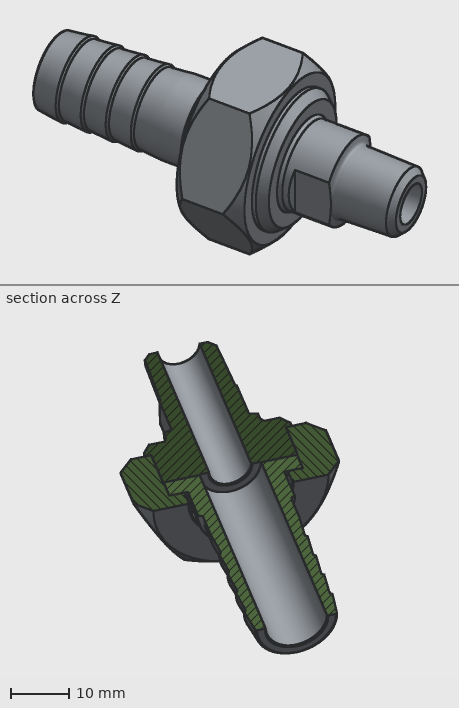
import cadquery as cq
import math

TOTAL_LENGTH = 71.0
BORE_CHAMFER = 0.2

TAIL_BORE_DIAMETER = 11.0
BARB_COUNT = 5
BARB_PITCH = 5.0
BARB_RELIEF_LENGTH = 0.4
BARB_CREST_RADIUS = 16.0 / 2
BARB_ROOT_RADIUS = 7.6
TAIL_FACE_RADIUS = 7.1
TAIL_TIP_RADIUS = 7.4
TAIL_TIP_LENGTH = 0.2
COLLAR_RADIUS = 17.5 / 2
COLLAR_FILLET_START = 29.55
COLLAR_FILLET_END = 29.95
COLLAR_FILLET_RADIUS = 8.3
COLLAR_START = 30.2

NUT_START = 33.45
NUT_LENGTH = 13.5
NUT_END = NUT_START + NUT_LENGTH
NUT_ACROSS_FLATS = 32.0
NUT_ACROSS_CORNERS = NUT_ACROSS_FLATS / math.cos(math.radians(30))
NUT_FACE_RADIUS = 31.5 / 2
NUT_HOLE_DIAMETER = 18.5
NUT_THREAD_RADIUS = 24.15 / 2
NUT_LIP = 2.85
SEAT_X = NUT_START + NUT_LIP
TAIL_HEAD_LENGTH = 3.55
TAIL_END = SEAT_X + TAIL_HEAD_LENGTH

ADAPTER_BORE_DIAMETER = 7.5
FLANGE_RADIUS = 26.4 / 2
FLANGE_FACE_RADIUS = 23.5 / 2
FLANGE_CHAMFER_START = 47.7
FLANGE_END = 49.5
NECK_RADIUS = 17.0 / 2
NECK_FLARE_RADIUS = 8.95
NECK_FLARE_END = 50.3
NECK_END = 58.7
NECK_FACE_BOTTOM = 59.0
WRENCH_FLAT_WIDTH = 14.0
WRENCH_FLAT_START = 52.0
FLAT_RUNOUT = 0.4
TAPER_START = 59.7
TAPER_FLARE_RADIUS = 7.25
TAPER_LARGE_RADIUS = 6.75
TAPER_SMALL_RADIUS = 6.45
TAPER_END = 69.7
ADAPTER_TIP_RADIUS = 5.25


def turn(profile):
    """Revolve a closed (x, radius) profile about the X axis."""
    return profile.close().revolve(360, (0, 0, 0), (1, 0, 0))


def bore(start, end, diameter):
    """Cutter for a round bore along X, with its mouth chamfered at the start."""
    radius = diameter / 2
    return turn(
        cq.Workplane("XY")
        .moveTo(start, 0)
        .lineTo(start, radius + BORE_CHAMFER)
        .lineTo(start + BORE_CHAMFER, radius)
        .lineTo(end, radius)
        .lineTo(end, 0)
    )


def make_hose_tail():
    profile = (
        cq.Workplane("XY")
        .moveTo(0, 0)
        .lineTo(0, TAIL_FACE_RADIUS)
        .lineTo(TAIL_TIP_LENGTH, TAIL_TIP_RADIUS)
    )
    for barb in range(1, BARB_COUNT):
        crest = barb * BARB_PITCH
        profile = profile.lineTo(crest, BARB_CREST_RADIUS)
        profile = profile.lineTo(crest + BARB_RELIEF_LENGTH, BARB_ROOT_RADIUS)
    profile = (
        profile.lineTo(BARB_COUNT * BARB_PITCH, BARB_CREST_RADIUS)
        .lineTo(COLLAR_FILLET_START, BARB_CREST_RADIUS)
        .tangentArcPoint((COLLAR_FILLET_END, COLLAR_FILLET_RADIUS), relative=False)
        .lineTo(COLLAR_START, COLLAR_RADIUS)
        .lineTo(SEAT_X, COLLAR_RADIUS)
        .lineTo(SEAT_X, NUT_THREAD_RADIUS)
        .lineTo(TAIL_END, NUT_THREAD_RADIUS)
        .lineTo(TAIL_END, 0)
    )
    return turn(profile).cut(bore(0, TAIL_END, TAIL_BORE_DIAMETER))


def make_nut():
    hexagon = (
        cq.Workplane("YZ", origin=(NUT_START, 0, 0))
        .polygon(6, NUT_ACROSS_CORNERS)
        .extrude(NUT_LENGTH)
    )
    chamfer = NUT_LENGTH / 2
    drum_radius = NUT_FACE_RADIUS + chamfer
    drum = turn(
        cq.Workplane("XY")
        .moveTo(NUT_START, 0)
        .lineTo(NUT_START, NUT_FACE_RADIUS)
        .lineTo(NUT_START + chamfer, drum_radius)
        .lineTo(NUT_END, NUT_FACE_RADIUS)
        .lineTo(NUT_END, 0)
    )
    nut = hexagon.intersect(drum)
    nut = nut.cut(bore(NUT_START, NUT_END, NUT_HOLE_DIAMETER))
    socket = (
        cq.Workplane("YZ", origin=(SEAT_X, 0, 0))
        .circle(NUT_THREAD_RADIUS)
        .extrude(NUT_END - SEAT_X)
    )
    return nut.cut(socket)


def make_flat_cutter():
    """Block that leaves one wrench flat on the +Y side, with a sloping end wall."""
    flat = WRENCH_FLAT_WIDTH / 2
    return (
        cq.Workplane("XY")
        .moveTo(WRENCH_FLAT_START, flat)
        .lineTo(WRENCH_FLAT_START - FLAT_RUNOUT, NECK_RADIUS)
        .lineTo(WRENCH_FLAT_START - FLAT_RUNOUT, FLANGE_RADIUS)
        .lineTo(TAPER_START, FLANGE_RADIUS)
        .lineTo(TAPER_START, flat)
        .close()
        .extrude(NECK_RADIUS, both=True)
    )


def make_adapter():
    adapter = turn(
        cq.Workplane("XY")
        .moveTo(TAIL_END, 0)
        .lineTo(TAIL_END, NUT_THREAD_RADIUS)
        .lineTo(NUT_END, NUT_THREAD_RADIUS)
        .lineTo(NUT_END, FLANGE_RADIUS)
        .lineTo(FLANGE_CHAMFER_START, FLANGE_RADIUS)
        .lineTo(FLANGE_END, FLANGE_FACE_RADIUS)
        .lineTo(FLANGE_END, NECK_FLARE_RADIUS)
        .lineTo(NECK_FLARE_END, NECK_RADIUS)
        .lineTo(NECK_END, NECK_RADIUS)
        .lineTo(NECK_FACE_BOTTOM, TAPER_FLARE_RADIUS)
        .tangentArcPoint((TAPER_START, TAPER_LARGE_RADIUS), relative=False)
        .lineTo(TAPER_END, TAPER_SMALL_RADIUS)
        .lineTo(TOTAL_LENGTH, ADAPTER_TIP_RADIUS)
        .lineTo(TOTAL_LENGTH, 0)
    )
    cutter = make_flat_cutter()
    adapter = adapter.cut(cutter).cut(cutter.mirror("XZ"))
    return adapter.cut(bore(TAIL_END, TOTAL_LENGTH, ADAPTER_BORE_DIAMETER))


hose_tail = make_hose_tail()
nut = make_nut()
adapter = make_adapter()

result = cq.Compound.makeCompound([hose_tail.val(), nut.val(), adapter.val()])